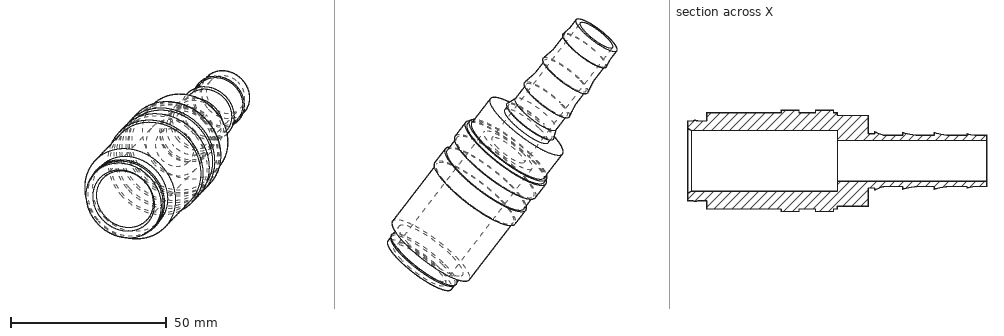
import cadquery as cq

total_length = 96.0

nose_radius = 12.85
nose_length = 6.1
bead_radius = 13.1
bead_front = 1.8
bead_crest = 2.35
bead_back = 3.3

sleeve_radius = 15.5
sleeve_back = 48.0
ring_radius = 16.25
front_ring_start = 30.0
rear_ring_start = 41.0
ring_width = 5.8
body_radius = 14.6
body_back = 58.0

tail_radius = 8.25
collar_radius = 8.75
collar_length = 2.0
barbs = [
    (6.45, 2.9, 8.75),
    (16.9, 4.35, 9.1),
    (27.0, 4.65, 9.1),
    (36.0, 3.0, 9.4),
]

passage_radius = 6.5
socket_radius = 9.7
socket_depth = sleeve_back
mouth_radius = 10.5
mouth_chamfer_depth = 1.2


def cylinder(radius, start, end):
    """Solid cylinder on the Y axis between two Y positions."""
    return cq.Workplane("XZ", origin=(0, start, 0)).circle(radius).extrude(start - end)


def revolved(points):
    """Solid turned about the Y axis from an outline of (radius, y) points."""
    return cq.Workplane("XY").polyline(points).close().revolve(360, (0, 0, 0), (0, 1, 0))


def make_nose():
    """Nose cylinder with a bead that has a steep front flank and a shallow back flank."""
    return revolved([
        (0, 0),
        (nose_radius, 0),
        (nose_radius, bead_front),
        (bead_radius, bead_crest),
        (nose_radius, bead_back),
        (nose_radius, nose_length),
        (0, nose_length),
    ])


def make_sleeve():
    """Sleeve with its grip rings, followed by the rear body."""
    sleeve = cylinder(sleeve_radius, nose_length, sleeve_back)
    for start in (front_ring_start, rear_ring_start):
        sleeve = sleeve.union(cylinder(ring_radius, start, start + ring_width))
    return sleeve.union(cylinder(body_radius, sleeve_back, body_back))


def make_barb(crest_distance, ramp_length, crest_radius):
    """Ring that ramps up from the tail and drops square on the body side."""
    crest = total_length - crest_distance
    ramp_end = crest + ramp_length
    return revolved([(0, crest), (crest_radius, crest), (tail_radius, ramp_end), (0, ramp_end)])


def make_tail():
    """Hose tail with its barbs and the collar where it meets the body."""
    tail = cylinder(tail_radius, body_back, total_length)
    tail = tail.union(cylinder(collar_radius, body_back, body_back + collar_length))
    for barb in barbs:
        tail = tail.union(make_barb(*barb))
    return tail


def make_bore():
    """Wide socket with a chamfered mouth, and a narrower passage right through."""
    socket = revolved([
        (0, 0),
        (mouth_radius, 0),
        (socket_radius, mouth_chamfer_depth),
        (socket_radius, socket_depth),
        (0, socket_depth),
    ])
    return socket.union(cylinder(passage_radius, 0, total_length))


result = make_nose().union(make_sleeve()).union(make_tail()).cut(make_bore())